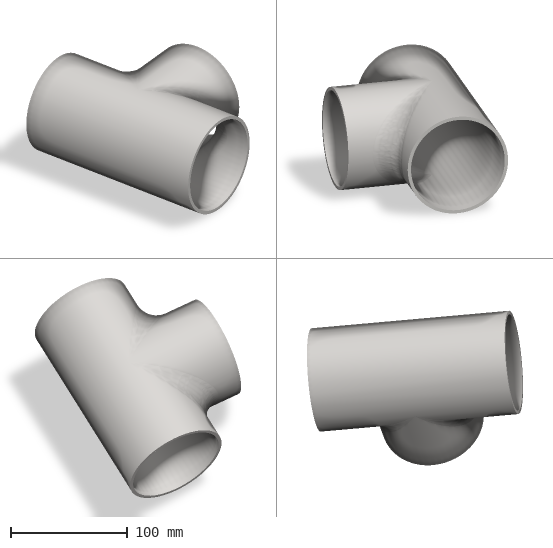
import cadquery as cq
import math

run_length = 172.0
pipe_diameter = 89.0
bore_diameter = 83.0
crotch_radius = 19.8

branch_reach = run_length / 2
outer_radius = pipe_diameter / 2
bore_radius = bore_diameter / 2
crotch_centre = outer_radius + crotch_radius
crotch_spans = 8


def guide_curve(x, y, height):
    """Upright half ellipse from pole to pole of the Z axis, passing through (x, y, 0)."""
    plane = cq.Plane(origin=(0, 0, 0), xDir=(x, y, 0), normal=(y, -x, 0))
    reach = math.hypot(x, y)
    return cq.Workplane(plane).ellipseArc(reach, height, -90, 90, startAtCurrent=False).val()


def crotch_wedge(radius):
    """Solid between run and branch on the +X side, from the Z axis out to the rounded crotch surface."""
    arc_radius = crotch_centre - radius
    guides = []
    for i in range(crotch_spans + 1):
        angle = math.pi / 2 * i / crotch_spans
        x = crotch_centre - arc_radius * math.sin(angle)
        y = crotch_centre - arc_radius * math.cos(angle)
        guides.append(guide_curve(x, y, radius))

    axis_line = cq.Edge.makeLine(cq.Vector(0, 0, -radius), cq.Vector(0, 0, radius))
    flat_sides = []
    for guide in (guides[0], guides[-1]):
        outline = cq.Wire.assembleEdges([guide, axis_line])
        flat_sides.append(cq.Face.makeFromWires(outline))

    rounded_skin = cq.occ_impl.shapes.loft(*guides)
    shell = cq.Shell.makeShell(rounded_skin.Faces() + flat_sides)
    return cq.Workplane(cq.Solid.makeSolid(shell))


def branch_sector(x, y):
    """Tall V-shaped prism opening toward +Y, its sides running from the Z axis through (x, y) and (-x, y)."""
    depth = 2 * branch_reach
    half_width = depth * x / y
    outline = [(0, 0), (half_width, depth), (-half_width, depth)]
    return cq.Workplane("XY").polyline(outline).close().extrude(pipe_diameter, both=True)


def tee_body(radius):
    """Solid tee of the given pipe radius: run and branch stop at the flat sides of the crotch wedges."""
    run = cq.Workplane("YZ").circle(radius).extrude(run_length / 2, both=True)
    run = run.cut(branch_sector(crotch_centre, radius))
    branch = cq.Workplane("XZ").circle(radius).extrude(-branch_reach)
    branch = branch.intersect(branch_sector(radius, crotch_centre))
    wedge = crotch_wedge(radius)
    return run.union(wedge).union(wedge.mirror("YZ")).union(branch)


result = tee_body(outer_radius).cut(tee_body(bore_radius))